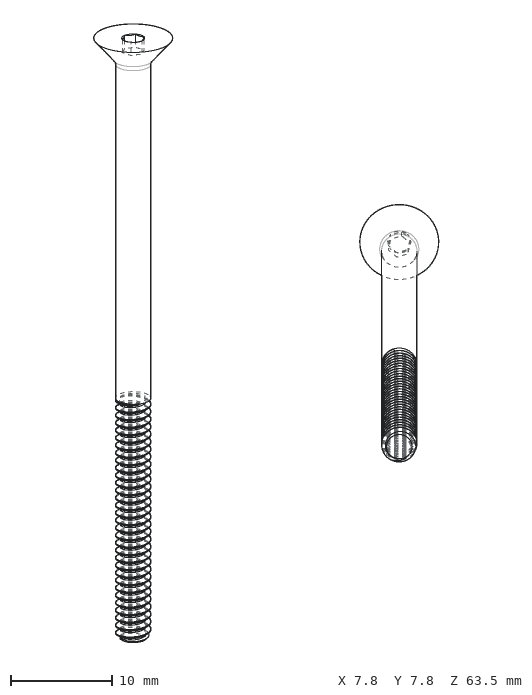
import cadquery as cq
import math

length = 63.5
shank_diameter = 3.5
shank_radius = shank_diameter / 2
head_diameter = 7.8
head_radius = head_diameter / 2
head_half_angle = math.radians(41)
neck_fillet = 0.75

socket_sides = 6
socket_across_flats = 2.0
socket_depth = 1.4
mouth_half_angle = math.radians(60)

thread_length = 25.4
thread_turns = 32
pitch = thread_length / thread_turns
root_radius = 1.3
crest_width = pitch / 8
flank_half_angle = math.radians(30)
root_overlap = 0.05

head_height = (head_radius - shank_radius) / math.tan(head_half_angle)


def make_head_and_shank():
    """Countersunk head and plain shank, blended at the neck."""
    neck_z = length - head_height
    body = (
        cq.Workplane("XZ")
        .moveTo(0, thread_length)
        .lineTo(shank_radius, thread_length)
        .lineTo(shank_radius, neck_z)
        .lineTo(head_radius, length)
        .lineTo(0, length)
        .close()
        .revolve(360, (0, 0, 0), (0, 1, 0))
    )
    neck_edge = cq.selectors.BoxSelector(
        (-head_radius, -head_radius, neck_z - neck_fillet),
        (head_radius, head_radius, neck_z + neck_fillet),
        boundingbox=True,
    )
    return body.edges(neck_edge).fillet(neck_fillet)


def make_socket():
    """Hexagonal prism with flats facing +X and -X, opened by a conical mouth as wide as its corners."""
    half_side_angle = 180 / socket_sides
    flat_radius = socket_across_flats / 2
    corner_radius = flat_radius / math.cos(math.radians(half_side_angle))
    hexagon = (
        cq.Workplane("XY")
        .workplane(offset=length - socket_depth)
        .transformed(rotate=(0, 0, half_side_angle))
        .polygon(socket_sides, 2 * corner_radius)
        .extrude(socket_depth)
    )
    mouth_depth = (corner_radius - flat_radius) / math.tan(mouth_half_angle)
    mouth_bottom = cq.Vector(0, 0, length - mouth_depth)
    mouth = cq.Solid.makeCone(flat_radius, corner_radius, mouth_depth, pnt=mouth_bottom)
    return hexagon.union(cq.Workplane(obj=mouth))


def make_thread_ridge():
    """Helical ridge with its crest at Z = 0 on the +X side, trimmed to the threaded length."""
    inner_radius = root_radius - root_overlap
    crest_half = crest_width / 2
    base_half = crest_half + (shank_radius - inner_radius) * math.tan(flank_half_angle)
    helix_start = -pitch
    helix_length = thread_length - helix_start
    helix = cq.Wire.makeHelix(pitch, helix_length, inner_radius, center=cq.Vector(0, 0, helix_start))
    ridge = (
        cq.Workplane("XZ")
        .moveTo(inner_radius, helix_start - base_half)
        .lineTo(shank_radius, helix_start - crest_half)
        .lineTo(shank_radius, helix_start + crest_half)
        .lineTo(inner_radius, helix_start + base_half)
        .close()
        .sweep(cq.Workplane(obj=helix), isFrenet=True)
    )
    tip_chamfer = shank_radius - root_radius
    envelope = (
        cq.Workplane("XY")
        .circle(shank_radius + root_overlap)
        .extrude(thread_length + pitch)
        .faces("<Z")
        .chamfer(tip_chamfer + root_overlap)
    )
    return ridge.intersect(envelope)


core = cq.Workplane("XY").circle(root_radius).extrude(thread_length)
threaded_end = core.union(make_thread_ridge())
head_end = make_head_and_shank().cut(make_socket())

result = head_end.union(threaded_end, clean=False)